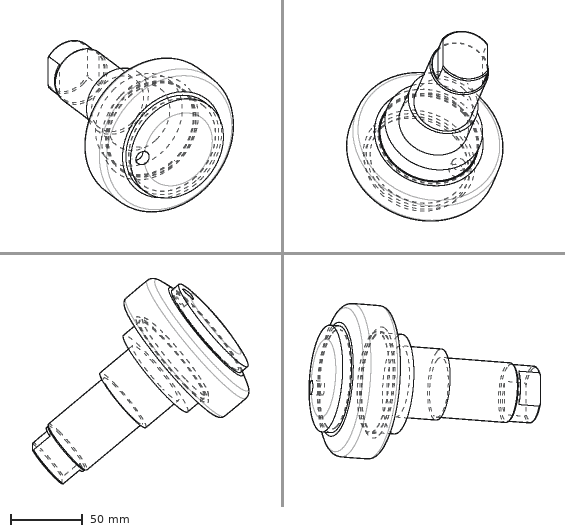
import cadquery as cq
import math

stub_diameter = 40.0
stub_end = 17.7
stub_chamfer = 1.0
flat_length = 16.0
width_across_flats = 32.0

shaft_diameter = 42.0
shaft_chamfer = 1.0
collar_diameter = 50.0
collar_start = 69.5
collar_offset = 2.0
flange_diameter = 70.0
flange_start = 99.5
inner_ring_diameter = 70.5

roller_diameter = 107.8
roller_start = 114.8
roller_end = 145.8
crown_radius = 500.0
front_fillet = 3.0
rear_fillet = 5.0
rear_face_diameter = 80.0
rear_slope = math.radians(70)

seal_bore_diameter = 71.5
seal_outer_diameter = 78.0
seal_gap_depth = 3.0
seal_recess = 0.1

disc_diameter = 75.0
disc_end = 154.5
disc_face_diameter = 55.0
disc_taper_length = 1.75
rear_gap = 0.4
rear_neck_diameter = 70.0

grease_hole_diameter = 10.0
grease_hole_depth = 10.0
grease_hole_offset = 28.5


def cylinder(diameter, start, end, center_z=0.0):
    """Solid cylinder along X between two positions."""
    plane = cq.Workplane("YZ", origin=(start, 0, center_z))
    return plane.circle(diameter / 2).extrude(end - start)


def make_stub():
    """Chamfered stub with two parallel wrench flats facing -Y and +Y."""
    stub = cylinder(stub_diameter, 0, stub_end).faces("<X").chamfer(stub_chamfer)
    cut_depth = stub_diameter / 2
    for side in (-1, 1):
        cut_center = (flat_length / 2, side * (width_across_flats + cut_depth) / 2, 0)
        flat_cut = cq.Workplane("XY").box(flat_length, cut_depth, stub_diameter).translate(cut_center)
        stub = stub.cut(flat_cut)
    return stub


def make_shaft():
    """Stepped shaft; the collar axis sits above the shaft axis."""
    shaft = cylinder(shaft_diameter, stub_end, collar_start).faces("<X").chamfer(shaft_chamfer)
    collar = cylinder(collar_diameter, collar_start, flange_start, collar_offset)
    flange = cylinder(flange_diameter, flange_start, roller_start)
    inner_ring = cylinder(inner_ring_diameter, roller_start, roller_end)
    return shaft.union(collar).union(flange).union(inner_ring)


def round_rim(body, rim_x, radius):
    """Fillet the circular edge that lies at the given position along X."""
    reach = roller_diameter
    rim = cq.selectors.BoxSelector((rim_x - radius / 2, -reach, -reach), (rim_x + radius / 2, reach, reach))
    return body.edges(rim).fillet(radius)


def make_roller():
    """Crowned roller with a rounded front edge and a rounded, sloping rear shoulder."""
    top_radius = roller_diameter / 2
    rear_face_radius = rear_face_diameter / 2
    shoulder_x = roller_end - (top_radius - rear_face_radius) / math.tan(rear_slope)
    crown_x = (roller_start + shoulder_x) / 2
    half_width = shoulder_x - crown_x
    edge_radius = top_radius - half_width**2 / (2 * crown_radius)
    roller = (
        cq.Workplane("XY")
        .moveTo(roller_start, 0)
        .lineTo(roller_start, edge_radius)
        .threePointArc((crown_x, top_radius), (shoulder_x, edge_radius))
        .lineTo(roller_end, rear_face_radius)
        .lineTo(roller_end, 0)
        .close()
        .revolve(360, (0, 0, 0), (1, 0, 0))
    )
    roller = round_rim(roller, roller_start, front_fillet)
    roller = round_rim(roller, shoulder_x, rear_fillet)
    seal_pocket = cylinder(seal_bore_diameter, roller_start, roller_start + seal_gap_depth)
    recess = cylinder(seal_outer_diameter, roller_start, roller_start + seal_recess)
    return roller.cut(seal_pocket).cut(recess)


def make_rear_disc():
    """Disc behind the roller, set off by a narrow neck and drilled off-center for grease."""
    disc_start = roller_end + rear_gap
    taper_start = disc_end - disc_taper_length
    disc = (
        cq.Workplane("XY")
        .moveTo(roller_end, 0)
        .lineTo(roller_end, rear_neck_diameter / 2)
        .lineTo(disc_start, rear_neck_diameter / 2)
        .lineTo(disc_start, disc_diameter / 2)
        .lineTo(taper_start, disc_diameter / 2)
        .lineTo(disc_end, disc_face_diameter / 2)
        .lineTo(disc_end, 0)
        .close()
        .revolve(360, (0, 0, 0), (1, 0, 0))
    )
    hole = cylinder(grease_hole_diameter, disc_end - grease_hole_depth, disc_end)
    return disc.cut(hole.translate((0, -grease_hole_offset, 0)))


result = make_stub().union(make_shaft()).union(make_roller()).union(make_rear_disc())